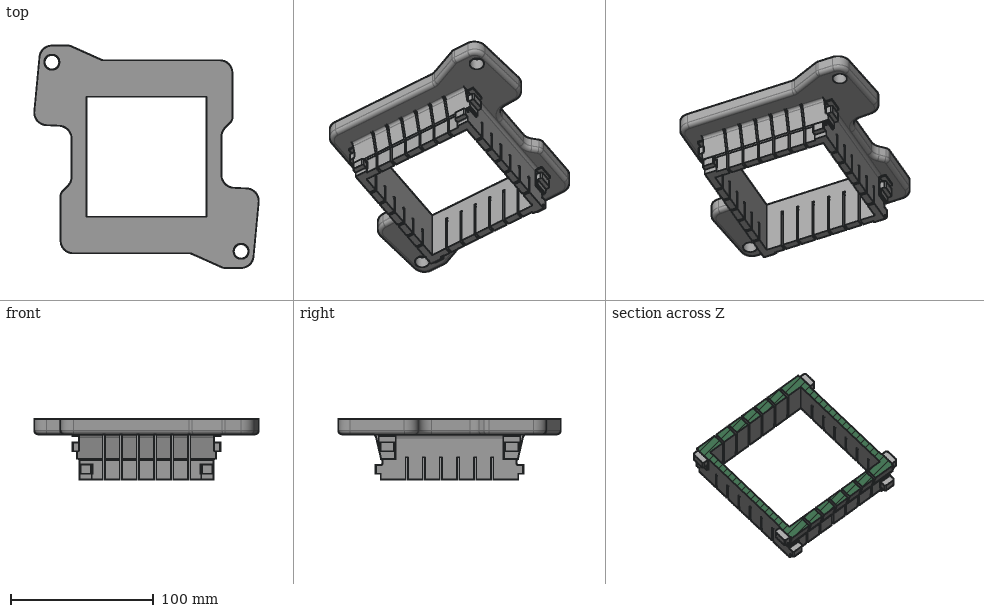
import cadquery as cq
import math

plate_thickness = 11.0
plate_edge_radius = 3.1
overall_width = 157.2
overall_depth = 155.8
lobe_top = overall_depth / 2
lobe_corner_overhang = 0.85
long_edge = 67.6
short_edge = 60.2
notch_edge = 52.5
big_radius = 9.0
small_radius = 5.0
hole_diameter = 10.0
hole_chamfer = 0.3
hole_offset = 66.2

total_height = 42.6
opening = 83.8
skirt_half = 47.0
skirt_root_radius = 2.2
slope_bottom_depth = 28.0
slope_bottom_out = 48.0
slope_top_out = 51.9
slope_root_radius = 2.4
slope_step_depth = 29.1

slot_count = 6
slot_pitch = 12.0
slot_width = 1.4
side_slot_depth = 27.0

clip_inner = 38.2
clip_reach = 52.0
clip_edge_chamfer = 1.0
pad_height = 6.3
backing_thickness = 0.5
backing_margin = 0.5
side_pad_depth = 16.5
side_pad_outer = 48.9
side_clip_outer = 49.4
side_foot_reach = 48.7
front_pad_depth = 32.2
front_foot_reach = 48.3
ceiling_thickness = 1.1


def half_turn(point):
    return (-point[0], -point[1])


def box(x_range, y_range, z_range):
    """Axis-aligned block between the given limits."""
    size = [high - low for low, high in (x_range, y_range, z_range)]
    corner = (x_range[0], y_range[0], z_range[0])
    return cq.Workplane("XY").box(*size, centered=False).translate(corner)


def mirror_to_corners(solid):
    """The solid together with its mirror images about the XZ and YZ planes."""
    pair = solid.union(solid.mirror("YZ"))
    return pair.union(pair.mirror("XZ"))


def make_plate():
    slant_drop = short_edge - notch_edge
    notch_slant_top = -17.8
    half_corners = [
        ((-30.8, long_edge), small_radius),
        ((-53.8, lobe_top), small_radius),
        ((-74.2, lobe_top), big_radius),
        ((-overall_width / 2 - lobe_corner_overhang, 22.5), big_radius),
        ((-notch_edge, 21.2), big_radius),
        ((-notch_edge, notch_slant_top), big_radius),
        ((-short_edge, notch_slant_top - slant_drop), small_radius),
        ((-short_edge, -long_edge), big_radius),
    ]
    corners = half_corners + [(half_turn(point), radius) for point, radius in half_corners]
    outline = [point for point, radius in corners]
    plate = cq.Workplane("XY").polyline(outline).close().extrude(-plate_thickness)
    for (x, y), radius in corners:
        corner_edge = cq.selectors.NearestToPointSelector((x, y, -plate_thickness / 2))
        plate = plate.edges("|Z").edges(corner_edge).fillet(radius)
    plate = plate.faces("<Z").edges().fillet(plate_edge_radius)
    holes = (
        cq.Workplane("XY")
        .pushPoints([(-hole_offset, hole_offset), (hole_offset, -hole_offset)])
        .circle(hole_diameter / 2)
        .extrude(-plate_thickness)
    )
    plate = plate.cut(holes)
    for x in (-hole_offset, hole_offset):
        rim = cq.selectors.NearestToPointSelector((x, -x, 0))
        plate = plate.faces(">Z").edges(rim).chamfer(hole_chamfer)
    return plate


def make_skirt():
    """Solid block with sloped Y walls, rounded into the plate underside."""
    slope_angle = math.atan2(slope_top_out - slope_bottom_out, slope_bottom_depth - plate_thickness)
    tangent = slope_root_radius * math.tan((math.pi / 2 - slope_angle) / 2)
    root_end = (slope_top_out + tangent, -plate_thickness)
    root_start = (
        slope_top_out - tangent * math.sin(slope_angle),
        -plate_thickness - tangent * math.cos(slope_angle),
    )
    side = (
        cq.Workplane("YZ")
        .moveTo(0, -total_height)
        .lineTo(skirt_half, -total_height)
        .lineTo(skirt_half, -slope_step_depth)
        .lineTo(slope_bottom_out, -slope_bottom_depth)
        .lineTo(*root_start)
        .radiusArc(root_end, slope_root_radius)
        .lineTo(0, -plate_thickness)
        .close()
        .extrude(skirt_half, both=True)
    )
    return side.union(side.mirror("XZ"))


def make_side_root():
    """Concave rounding between the +X wall and the plate, between its two clips."""
    return (
        cq.Workplane("XZ")
        .moveTo(skirt_half, -plate_thickness)
        .lineTo(skirt_half, -plate_thickness - skirt_root_radius)
        .radiusArc((skirt_half + skirt_root_radius, -plate_thickness), skirt_root_radius)
        .close()
        .extrude(clip_inner, both=True)
    )


def make_side_clip():
    """Clip on the +X wall at its +Y end."""
    pad_bottom = side_pad_depth + pad_height
    along = (clip_inner, side_clip_outer)
    pad_along = (clip_inner, side_pad_outer)
    pad = box((skirt_half, clip_reach), pad_along, (-pad_bottom, -side_pad_depth))
    pad = pad.faces(">X").edges("|Z").chamfer(clip_edge_chamfer)
    ceiling = box(
        (skirt_half, clip_reach), along, (-plate_thickness - ceiling_thickness, -plate_thickness)
    )
    foot = box((skirt_half, side_foot_reach), along, (-slope_bottom_depth, -pad_bottom))
    backing = box(
        (skirt_half, skirt_half + backing_thickness),
        (clip_inner - backing_margin, side_clip_outer),
        (-slope_bottom_depth - backing_margin, -plate_thickness),
    )
    envelope = (
        cq.Workplane("YZ")
        .polyline([
            (0, -slope_step_depth),
            (slope_bottom_out, -slope_step_depth),
            (slope_bottom_out, -slope_bottom_depth),
            (slope_top_out, -plate_thickness),
            (0, -plate_thickness),
        ])
        .close()
        .extrude(clip_reach)
    )
    return foot.union(backing).union(pad).union(ceiling).intersect(envelope)


def make_front_clip():
    """Clip on the +Y wall at its +X end."""
    pad_bottom = front_pad_depth + pad_height
    along = (clip_inner, skirt_half)
    pad = box(along, (skirt_half, clip_reach), (-pad_bottom, -front_pad_depth))
    pad = pad.faces(">Y").edges("|Z").chamfer(clip_edge_chamfer)
    foot = box(along, (skirt_half, front_foot_reach), (-total_height, -pad_bottom))
    backing = box(
        (clip_inner - backing_margin, skirt_half),
        (skirt_half, skirt_half + backing_thickness),
        (-pad_bottom, -front_pad_depth + backing_margin),
    )
    return foot.union(backing).union(pad)


def make_slots():
    """Slots through both pairs of walls; those through the Y walls reach the plate."""
    length = 2 * clip_reach + 2 * slope_root_radius
    slots = cq.Workplane("XY")
    for index in range(slot_count):
        place = (index - (slot_count - 1) / 2) * slot_pitch
        sides = (place - slot_width / 2, place + slot_width / 2)
        across = (-length / 2, length / 2)
        slots = slots.add(box(sides, across, (-total_height, -plate_thickness)))
        slots = slots.add(box(across, sides, (-total_height, -side_slot_depth)))
    return slots.combine()


side_root = make_side_root()
skirt = (
    make_skirt()
    .union(side_root)
    .union(side_root.mirror("YZ"))
    .union(mirror_to_corners(make_side_clip()))
    .union(mirror_to_corners(make_front_clip()))
    .cut(make_slots())
)
through_opening = cq.Workplane("XY").rect(opening, opening).extrude(-total_height)
result = make_plate().union(skirt).cut(through_opening)